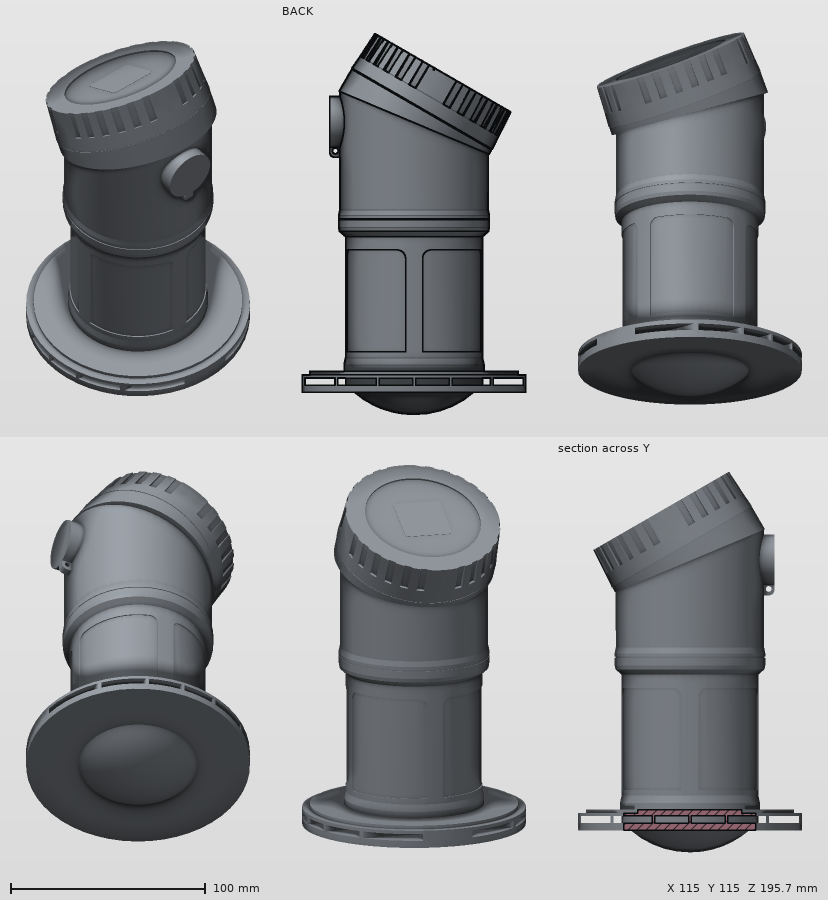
import cadquery as cq
import math

flange_radius = 57.5
rim_height = 9.0
lip_radius = 53.6
lip_height = 10.8
dome_radius = 30.5
dome_depth = 11.4

slot_bottom = 3.7
slot_height = 3.5
slot_rib_width = 1.5
slot_ribs = [0, 18.8, 40.0]
slot_outer_end = 56.0

tube_radius = 35.2
foot_radius = 36.0
foot_top = 14.0
foot_cone_top = 17.8

panel_depth = 0.5
panel_bottom = 20.7
panel_top = 73.2
panel_corner = 4.3
panel_gap = 8.8

collar_radius = 38.8
collar_lower_radius = 38.4
collar_cone_bottom = 80.0
collar_cone_top = 82.8
collar_band_bottom = 84.8
collar_groove_bottom = 88.7
collar_groove_width = 0.5
collar_band_top = 91.0
collar_top = 94.0

body_radius = 38.2

groove_depth = 0.4

elbow_height = 138.5
head_tilt = 30
miter_tilt = 22.8
elbow_radius = 41.5
elbow_length = 7.8
head_groove_width = 0.45
head_ring_radius = 41.7
head_ring_height = 7.5
cap_base_radius = 41.1
cap_top_radius = 40.3
cap_height = 13.9

grip_notches_per_quarter = 6
grip_notch_pitch = 12.2
grip_notch_width = 4.0
grip_notch_depth = 0.5

recess_radius = 30.1
recess_depth = 1.0
pad_side = 25.0
pad_corner = 1.5
pad_height = 0.2

port_height = 139.0
port_radius = 13.1
port_reach = 43.5
eyelet_drop = 14.9
eyelet_inset = 3.0
eyelet_hole = 3.0
eyelet_tail = 3.3
eyelet_corner = 2.7
eyelet_thickness = 4.0


def cylinder(radius, height, base=0):
    return cq.Workplane("XY").workplane(offset=base).circle(radius).extrude(height)


def make_column():
    """Flange, dome, tube, collar and body turned about Z, reaching past the mitre."""
    dome_sphere = (dome_radius**2 + dome_depth**2) / (2 * dome_depth)
    half_angle = math.asin(dome_radius / dome_sphere) / 2
    dome_mid = (
        dome_sphere * math.sin(half_angle),
        dome_sphere * (1 - math.cos(half_angle)) - dome_depth,
    )
    groove_radius = collar_radius - groove_depth
    collar_groove_top = collar_groove_bottom + collar_groove_width
    column_top = elbow_height + body_radius
    return (
        cq.Workplane("XZ")
        .moveTo(0, -dome_depth)
        .threePointArc(dome_mid, (dome_radius, 0))
        .lineTo(flange_radius, 0)
        .lineTo(flange_radius, rim_height)
        .lineTo(lip_radius, rim_height)
        .lineTo(lip_radius, lip_height)
        .lineTo(foot_radius, lip_height)
        .lineTo(foot_radius, foot_top)
        .lineTo(tube_radius, foot_cone_top)
        .lineTo(tube_radius, collar_cone_bottom)
        .lineTo(collar_lower_radius, collar_cone_top)
        .lineTo(collar_radius, collar_band_bottom)
        .lineTo(collar_radius, collar_groove_bottom)
        .lineTo(groove_radius, collar_groove_bottom)
        .lineTo(groove_radius, collar_groove_top)
        .lineTo(collar_radius, collar_groove_top)
        .lineTo(collar_radius, collar_band_top)
        .lineTo(body_radius, collar_top)
        .lineTo(body_radius, column_top)
        .lineTo(0, column_top)
        .close()
        .revolve(360, (0, 0, 0), (0, 1, 0))
    )


def make_flange_slots():
    """Rectangular windows along Y through the flange, passing around the tube."""
    inner_ends = [middle + slot_rib_width / 2 for middle in slot_ribs]
    outer_ends = [middle - slot_rib_width / 2 for middle in slot_ribs[1:]] + [slot_outer_end]
    slots = cq.Workplane("XY")
    for inner, outer in zip(inner_ends, outer_ends):
        for side in (-1, 1):
            slot = (
                cq.Workplane("XY")
                .box(outer - inner, 2 * flange_radius, slot_height)
                .translate((side * (inner + outer) / 2, 0, slot_bottom + slot_height / 2))
            )
            slots = slots.add(slot)
    return slots.combine().cut(cylinder(tube_radius, rim_height))


def make_panels():
    """Four shallow panels around the tube, one per quadrant, rounded at the top."""
    height = panel_top - panel_bottom
    shell = cylinder(tube_radius, height, panel_bottom)
    shell = shell.cut(cylinder(tube_radius - panel_depth, height, panel_bottom))
    middle = panel_gap / 2
    for across in ("XZ", "YZ"):
        flare = middle + panel_corner
        gap = (
            cq.Workplane(across)
            .moveTo(-middle, panel_bottom)
            .lineTo(middle, panel_bottom)
            .lineTo(middle, panel_top - panel_corner)
            .radiusArc((flare, panel_top), panel_corner)
            .lineTo(-flare, panel_top)
            .radiusArc((-middle, panel_top - panel_corner), panel_corner)
            .close()
            .extrude(2 * tube_radius, both=True)
        )
        shell = shell.cut(gap)
    return shell


def tilted_plane(tilt):
    """Plane through the elbow point, its normal leaning towards -X."""
    lean = math.radians(tilt)
    return cq.Plane(
        origin=(0, 0, elbow_height),
        xDir=(math.cos(lean), 0, math.sin(lean)),
        normal=(-math.sin(lean), 0, math.cos(lean)),
    )


def half_space(below):
    """Block filling one side of the mitre plane, below it or above it."""
    size = 6 * body_radius
    return cq.Workplane(tilted_plane(miter_tilt)).rect(size, size).extrude(-size if below else size)


def make_elbow():
    """Tilted cylinder under the head, cut off where the mitre meets the body."""
    elbow = (
        cq.Workplane(tilted_plane(head_tilt))
        .workplane(offset=elbow_length)
        .circle(elbow_radius)
        .extrude(-elbow_length - elbow_radius)
    )
    return elbow.cut(half_space(below=True))


def make_head():
    """Ring and grip cap, built upright on z = 0 and then tilted onto the elbow."""
    ring_top = head_groove_width + head_ring_height
    cap_top = ring_top + cap_height
    head = (
        cq.Workplane("XZ")
        .lineTo(head_ring_radius - groove_depth, 0)
        .lineTo(head_ring_radius - groove_depth, head_groove_width)
        .lineTo(head_ring_radius, head_groove_width)
        .lineTo(cap_base_radius, ring_top)
        .lineTo(cap_top_radius, cap_top)
        .lineTo(0, cap_top)
        .close()
        .revolve(360, (0, 0, 0), (0, 1, 0))
    )

    notch = (
        cq.Workplane("XY")
        .box(cap_base_radius, grip_notch_width, cap_height, centered=(False, True, False))
        .translate((cap_top_radius - grip_notch_depth, 0, ring_top))
    )
    for quarter in range(4):
        for index in range(grip_notches_per_quarter):
            from_middle = index - (grip_notches_per_quarter - 1) / 2
            angle = 45 + 90 * quarter + grip_notch_pitch * from_middle
            head = head.cut(notch.rotate((0, 0, 0), (0, 0, 1), angle))

    pad = (
        cq.Workplane("XY")
        .box(pad_side, pad_side, pad_height, centered=(True, True, False))
        .edges("|Z")
        .fillet(pad_corner)
        .translate((0, 0, cap_top - recess_depth))
    )
    head = head.cut(cylinder(recess_radius, recess_depth, cap_top - recess_depth)).union(pad)

    seat = cq.Workplane(tilted_plane(head_tilt)).workplane(offset=elbow_length).plane
    return cq.Workplane(head.val().moved(cq.Location(seat)))


def make_port():
    """Round port facing +X with a pierced eyelet hanging below it."""
    port = (
        cq.Workplane("YZ")
        .center(0, port_height)
        .circle(port_radius)
        .extrude(port_reach)
    )
    eyelet_x = port_reach - eyelet_inset
    eyelet_z = port_height - eyelet_drop
    eyelet_bottom = eyelet_z - eyelet_tail
    eyelet = (
        cq.Workplane("XY")
        .box(port_reach, eyelet_thickness, port_height - eyelet_bottom, centered=(False, True, False))
        .translate((0, 0, eyelet_bottom))
        .edges("|Y and >X and <Z")
        .fillet(eyelet_corner)
    )
    hole = (
        cq.Workplane("XZ")
        .center(eyelet_x, eyelet_z)
        .circle(eyelet_hole / 2)
        .extrude(eyelet_thickness, both=True)
    )
    return port.union(eyelet).cut(hole)


column = make_column().cut(half_space(below=False))
column = column.cut(make_flange_slots()).cut(make_panels())
result = column.union(make_elbow()).union(make_head()).union(make_port())